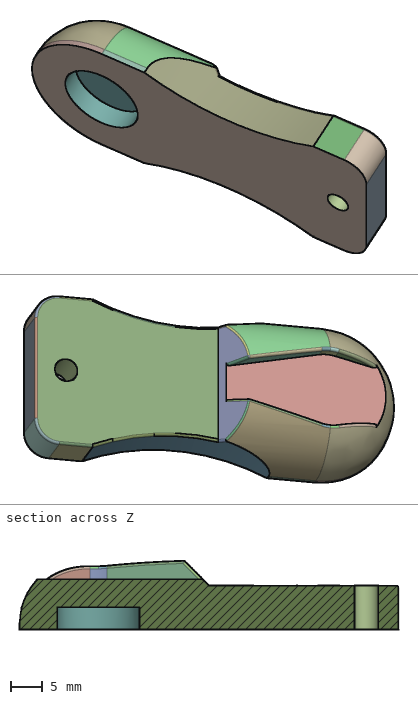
import cadquery as cq
import math

overall_length = 60.0
width = 25.0
head_radius = width / 2
tail_x = overall_length - head_radius
tail_corner_radius = 4.0

waist_start_x = 7.7
waist_end_x = 38.0
waist_depth = 3.2

head_thickness = 11.0
rim_height = 1.0
dome_radius = head_thickness - rim_height
plate_thickness = 7.0
ramp_foot_x = 17.5
ramp_angle = 45.0
edge_break = 0.4

edge_tolerance = 0.01

recess_floor_y = 8.0
recess_radius = 6.25
recess_taper = 12.5
recess_reach = 20.0

pocket_diameter = 13.0
pocket_depth = 3.5
ring_hole_diameter = 3.7
ring_hole_x = 42.4


def sketch_at(y):
    """XZ workplane at height y whose positive extrusion runs along +Y; local coordinates are (X, -Z)."""
    return cq.Workplane(cq.Plane(origin=(0, y, 0), xDir=(1, 0, 0), normal=(0, 1, 0)))


def outline(height):
    """Full planform raised to the given height, without the waists."""
    head = sketch_at(0).circle(head_radius).extrude(height)
    bar = sketch_at(0).center(tail_x / 2, 0).rect(tail_x, width).extrude(height)
    bar = bar.edges("|Y and >X").fillet(tail_corner_radius)
    return head.union(bar)


def domed_head():
    """Rounded head with a sloping ramp at its tail side."""
    run_per_rise = 1 / math.tan(math.radians(ramp_angle))
    ramp_base_x = ramp_foot_x + plate_thickness * run_per_rise
    ramp_top_x = ramp_base_x - head_thickness * run_per_rise
    round_end = sketch_at(0).circle(head_radius).extrude(head_thickness)
    straight = sketch_at(0).center(ramp_base_x / 2, 0).rect(ramp_base_x, width).extrude(head_thickness)
    dome = round_end.union(straight).faces(">Y").edges("not >X").fillet(dome_radius)
    ramp = (
        cq.Workplane("XY")
        .polyline([(ramp_base_x, 0), (ramp_base_x, head_thickness), (ramp_top_x, head_thickness)])
        .close()
        .extrude(width, both=True)
    )
    slab_past_ramp = (
        cq.Workplane("XY")
        .rect(overall_length, head_thickness * 2)
        .extrude(width, both=True)
        .translate((ramp_foot_x + overall_length / 2, 0, 0))
    )
    return dome.cut(ramp).cut(slab_past_ramp)


def flat_plate():
    """Constant-thickness tail beyond the foot of the ramp."""
    tail_side = (
        sketch_at(0)
        .center((ramp_foot_x + tail_x) / 2, 0)
        .rect(tail_x - ramp_foot_x, width)
        .extrude(plate_thickness)
    )
    return outline(plate_thickness).intersect(tail_side)


def waist_cutters():
    """Two large cylinders that hollow the long sides."""
    half_chord = (waist_end_x - waist_start_x) / 2
    radius = (half_chord**2 + waist_depth**2) / (2 * waist_depth)
    center_x = (waist_start_x + waist_end_x) / 2
    center_z = head_radius - waist_depth + radius
    centers = [(center_x, center_z), (center_x, -center_z)]
    return sketch_at(0).pushPoints(centers).circle(radius).extrude(head_thickness)


def finger_recess():
    """Circle whose tangent lines converge toward each end, cut down to the recess floor."""
    taper = math.radians(recess_taper)
    tangent_x = recess_radius * math.sin(taper)
    tangent_z = recess_radius * math.cos(taper)
    end_z = (recess_radius - recess_reach * math.sin(taper)) / math.cos(taper)
    return (
        sketch_at(recess_floor_y)
        .moveTo(-recess_reach, end_z)
        .lineTo(-tangent_x, tangent_z)
        .threePointArc((0, recess_radius), (tangent_x, tangent_z))
        .lineTo(recess_reach, end_z)
        .lineTo(recess_reach, -end_z)
        .lineTo(tangent_x, -tangent_z)
        .threePointArc((0, -recess_radius), (-tangent_x, -tangent_z))
        .lineTo(-recess_reach, -end_z)
        .close()
        .extrude(head_thickness)
    )


def is_crest_edge(edge):
    """True for the outer edges of the plate top, the ramp sides and the rim of the recess."""
    box = edge.BoundingBox()
    above_plate = box.ymin > plate_thickness - edge_tolerance
    on_recess_floor = abs(box.ymin - recess_floor_y) < edge_tolerance and box.ylen < edge_tolerance
    recess_wall_corner = box.xlen < edge_tolerance and box.zlen < edge_tolerance
    ramp_foot = box.xlen < edge_tolerance and abs(box.xmin - ramp_foot_x) < edge_tolerance
    return above_plate and not (on_recess_floor or recess_wall_corner or ramp_foot)


body = domed_head().union(flat_plate()).cut(waist_cutters()).cut(finger_recess())
body = body.newObject([edge for edge in body.edges().vals() if is_crest_edge(edge)]).fillet(edge_break)
pocket = sketch_at(0).circle(pocket_diameter / 2).extrude(pocket_depth)
ring_hole = sketch_at(0).center(ring_hole_x, 0).circle(ring_hole_diameter / 2).extrude(plate_thickness)
result = body.cut(pocket).cut(ring_hole)